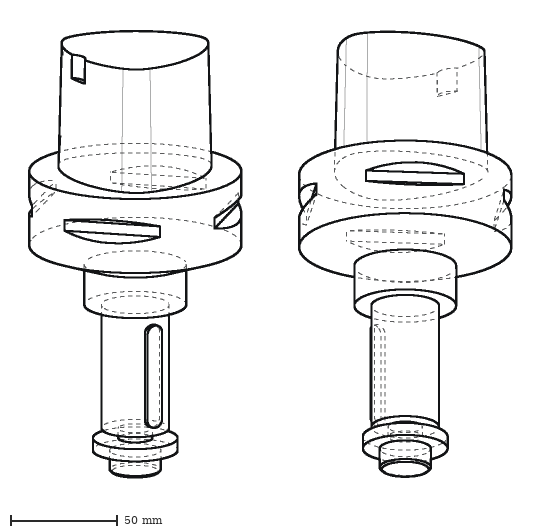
import cadquery as cq
import math

WASHER_BOTTOM = 10.3
WASHER_TOP = 16.3
ARBOR_BOTTOM = 21.0
COLLAR_BOTTOM = 81.2
CONE_BOTTOM = 101.0
FLANGE_BOTTOM = 110.2
FLANGE_TOP = 146.3
OVERALL_HEIGHT = 206.0

PIN_DIAMETER = 24.0
NECK_DIAMETER = 16.0
WASHER_DIAMETER = 40.0
ARBOR_DIAMETER = 32.0
COLLAR_DIAMETER = 48.0
FLANGE_DIAMETER = 100.0
PIN_CHAMFER = 1.0

SHANK_BASE_RADIUS = 36.0
SHANK_ECCENTRICITY = 3.0
SHANK_TAPER = 1 / 40
LOBE_HALF_ANGLE = 24.0
LOBE_DIRECTIONS = (90, 210, 330)
LOBE_SPACING = 120.0
SPLINE_STEPS = 8

NOTCH_WIDTH = 12.0
NOTCH_ARCH_RISE = 2.5
NOTCH_BACK_OFFSET = 28.6
NOTCH_DEPTH = 11.3

GROOVE_DIRECTIONS = (45, 135, 225, 315)
GROOVE_HEIGHT = 130.0
GROOVE_FLOOR_OFFSET = 44.3
GROOVE_FLOOR_WIDTH = 5.2
GROOVE_FLANK_ANGLE = 28.0

KEY_WIDTH = 8.0
KEY_BOTTOM = 25.3
KEY_TOP = 75.2
KEY_FACE_OFFSET = 18.0


def turned_body():
    pin_r, neck_r, washer_r, arbor_r, collar_r, flange_r = (
        diameter / 2
        for diameter in (
            PIN_DIAMETER, NECK_DIAMETER, WASHER_DIAMETER,
            ARBOR_DIAMETER, COLLAR_DIAMETER, FLANGE_DIAMETER,
        )
    )
    profile = [
        (0, 0),
        (pin_r - PIN_CHAMFER, 0),
        (pin_r, PIN_CHAMFER),
        (pin_r, WASHER_BOTTOM),
        (washer_r, WASHER_BOTTOM),
        (washer_r, WASHER_TOP),
        (neck_r, WASHER_TOP),
        (neck_r, ARBOR_BOTTOM),
        (arbor_r, ARBOR_BOTTOM),
        (arbor_r, COLLAR_BOTTOM),
        (collar_r, COLLAR_BOTTOM),
        (collar_r, CONE_BOTTOM),
        (flange_r, FLANGE_BOTTOM),
        (flange_r, FLANGE_TOP),
        (0, FLANGE_TOP),
    ]
    return cq.Workplane("XZ").polyline(profile).close().revolve(360, (0, 0), (0, 1))


def lobed_point(radius, degrees, height):
    """Point of the three-lobed outline whose outward normal has the given direction."""
    angle = math.radians(degrees)
    reach = radius - SHANK_ECCENTRICITY * math.sin(3 * angle)
    slide = -3 * SHANK_ECCENTRICITY * math.cos(3 * angle)
    x = reach * math.cos(angle) - slide * math.sin(angle)
    y = reach * math.sin(angle) + slide * math.cos(angle)
    return cq.Vector(x, y, height)


def lobed_edge(radius, start, sweep, height):
    angles = [start + sweep * i / SPLINE_STEPS for i in range(SPLINE_STEPS + 1)]
    return cq.Edge.makeSpline([lobed_point(radius, angle, height) for angle in angles])


def lobed_wire(radius, height):
    """Closed outline of three lobes joined by three flatter sides."""
    lobe_sweep = 2 * LOBE_HALF_ANGLE
    edges = []
    for direction in LOBE_DIRECTIONS:
        lobe_start = direction - LOBE_HALF_ANGLE
        side_start = direction + LOBE_HALF_ANGLE
        edges.append(lobed_edge(radius, lobe_start, lobe_sweep, height))
        edges.append(lobed_edge(radius, side_start, LOBE_SPACING - lobe_sweep, height))
    return cq.Wire.assembleEdges(edges)


def shank():
    top_radius = SHANK_BASE_RADIUS - SHANK_TAPER * (OVERALL_HEIGHT - FLANGE_TOP)
    base = lobed_wire(SHANK_BASE_RADIUS, FLANGE_TOP)
    top = lobed_wire(top_radius, OVERALL_HEIGHT)
    return cq.Workplane(cq.Solid.makeLoft([base, top], True))


def notch():
    """Pocket open to the top and front, with straight sides and an arched back."""
    half_width = NOTCH_WIDTH / 2
    arch_foot = -NOTCH_BACK_OFFSET - NOTCH_ARCH_RISE
    return (
        cq.Workplane("XY", origin=(0, 0, OVERALL_HEIGHT - NOTCH_DEPTH))
        .moveTo(-half_width, -SHANK_BASE_RADIUS)
        .lineTo(-half_width, arch_foot)
        .threePointArc((0, -NOTCH_BACK_OFFSET), (half_width, arch_foot))
        .lineTo(half_width, -SHANK_BASE_RADIUS)
        .close()
        .extrude(NOTCH_DEPTH)
    )


def groove(direction):
    """Straight groove with a flat floor and flanks that open outwards."""
    outer_offset = FLANGE_DIAMETER / 2
    floor_half = GROOVE_FLOOR_WIDTH / 2
    flank_rise = (outer_offset - GROOVE_FLOOR_OFFSET) * math.tan(math.radians(GROOVE_FLANK_ANGLE))
    mouth_half = floor_half + flank_rise
    section = [
        (GROOVE_FLOOR_OFFSET, GROOVE_HEIGHT - floor_half),
        (outer_offset, GROOVE_HEIGHT - mouth_half),
        (outer_offset, GROOVE_HEIGHT + mouth_half),
        (GROOVE_FLOOR_OFFSET, GROOVE_HEIGHT + floor_half),
    ]
    return (
        cq.Workplane("XZ")
        .polyline(section)
        .close()
        .extrude(FLANGE_DIAMETER / 2, both=True)
        .rotate((0, 0, 0), (0, 0, 1), direction)
    )


def key():
    return (
        cq.Workplane("YZ")
        .center(0, (KEY_BOTTOM + KEY_TOP) / 2)
        .slot2D(KEY_TOP - KEY_BOTTOM, KEY_WIDTH, 90)
        .extrude(KEY_FACE_OFFSET)
    )


result = turned_body().union(shank()).union(key()).cut(notch())
for groove_direction in GROOVE_DIRECTIONS:
    result = result.cut(groove(groove_direction))